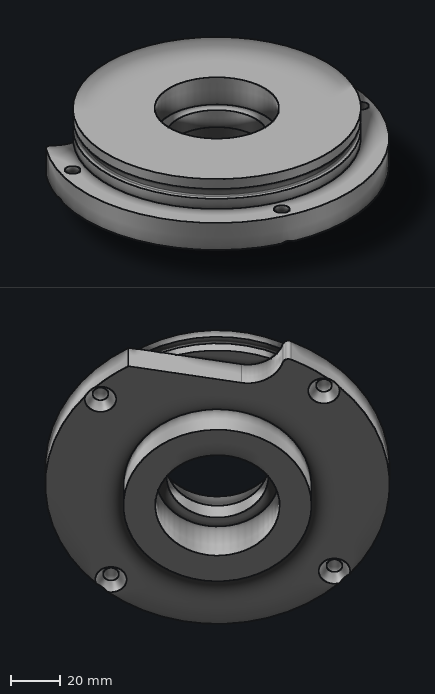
import cadquery as cq
import math

HUB_HEIGHT = 13.97
FLANGE_THICKNESS = 12.7
PILOT_HEIGHT = 13.97
FLANGE_TOP = HUB_HEIGHT + FLANGE_THICKNESS
TOTAL_HEIGHT = FLANGE_TOP + PILOT_HEIGHT

HUB_DIAMETER = 76.2
FLANGE_DIAMETER = 139.7
PILOT_DIAMETER = 116.84

GROOVE_DIAMETER = 111.76
GROOVE_WIDTH = 4.57
GROOVE_LIP = 4.6
GROOVE_CORNER_RADIUS = 0.6

SEAT_DIAMETER = 50.4
LAND_DIAMETER = 41.3
UPPER_SEAT_DEPTH = 12.7
LAND_LENGTH = 8.0
LOWER_SEAT_DEPTH = TOTAL_HEIGHT - UPPER_SEAT_DEPTH - LAND_LENGTH

SCREW_COUNT = 4
SCREW_CIRCLE_DIAMETER = 128.27
SCREW_HOLE_DIAMETER = 6.35
COUNTERSINK_DIAMETER = 12.7
COUNTERSINK_ANGLE = 82.0

RELIEF_ARC_CENTER = (-35.4, -57.2)
RELIEF_ARC_RADIUS = 14.9
RELIEF_FLAT_SLOPE = 32.0
RELIEF_TIP_RADIUS = 2.3


def cylinder(diameter, height, base):
    return cq.Workplane("XY").workplane(offset=base).circle(diameter / 2).extrude(height)


def polar_point(center, radius, degrees):
    angle = math.radians(degrees)
    return (center[0] + radius * math.cos(angle), center[1] + radius * math.sin(angle))


def tip_corner():
    """Lower crossing of the relief arc with the flange rim."""
    rim_radius = FLANGE_DIAMETER / 2
    center_distance = math.hypot(*RELIEF_ARC_CENTER)
    center_angle = math.atan2(RELIEF_ARC_CENTER[1], RELIEF_ARC_CENTER[0])
    side_squares = rim_radius**2 + center_distance**2 - RELIEF_ARC_RADIUS**2
    cosine = side_squares / (2 * rim_radius * center_distance)
    return polar_point((0, 0), rim_radius, math.degrees(center_angle + math.acos(cosine)))


def make_flange():
    """Round flange with the lower-left relief cut away and its tip rounded."""
    normal_angle = 90 - RELIEF_FLAT_SLOPE
    tangent_point = polar_point(RELIEF_ARC_CENTER, RELIEF_ARC_RADIUS, normal_angle)
    arc_side = polar_point(RELIEF_ARC_CENTER, RELIEF_ARC_RADIUS, 0)
    arc_end = polar_point(RELIEF_ARC_CENTER, RELIEF_ARC_RADIUS, -90)
    flat_end = polar_point(tangent_point, FLANGE_DIAMETER / 2, 180 - RELIEF_FLAT_SLOPE)
    relief = (
        cq.Workplane("XY")
        .workplane(offset=HUB_HEIGHT)
        .moveTo(*flat_end)
        .lineTo(*tangent_point)
        .threePointArc(arc_side, arc_end)
        .lineTo(arc_end[0], -FLANGE_DIAMETER)
        .lineTo(flat_end[0], -FLANGE_DIAMETER)
        .close()
        .extrude(FLANGE_THICKNESS)
    )
    flange = cylinder(FLANGE_DIAMETER, FLANGE_THICKNESS, HUB_HEIGHT).cut(relief)
    tip_x, tip_y = tip_corner()
    tip_middle = (tip_x, tip_y, HUB_HEIGHT + FLANGE_THICKNESS / 2)
    tip_edge = cq.selectors.NearestToPointSelector(tip_middle)
    return flange.edges("|Z").edges(tip_edge).fillet(RELIEF_TIP_RADIUS)


def make_pilot():
    """Pilot disc with a seal groove whose two inner corners are rounded."""
    groove_base = TOTAL_HEIGHT - GROOVE_LIP - GROOVE_WIDTH
    groove_core = cylinder(GROOVE_DIAMETER, GROOVE_WIDTH, groove_base)
    groove_ring = cylinder(FLANGE_DIAMETER, GROOVE_WIDTH, groove_base).cut(groove_core)
    inner_edges = cq.selectors.RadiusNthSelector(0)
    groove = groove_ring.edges("%CIRCLE").edges(inner_edges).fillet(GROOVE_CORNER_RADIUS)
    return cylinder(PILOT_DIAMETER, PILOT_HEIGHT, FLANGE_TOP).cut(groove)


def cut_bore(body):
    """Through land with a wider seat at each end."""
    land = cylinder(LAND_DIAMETER, TOTAL_HEIGHT, 0)
    lower_seat = cylinder(SEAT_DIAMETER, LOWER_SEAT_DEPTH, 0)
    upper_seat = cylinder(SEAT_DIAMETER, UPPER_SEAT_DEPTH, TOTAL_HEIGHT - UPPER_SEAT_DEPTH)
    return body.cut(land).cut(lower_seat).cut(upper_seat)


def cut_screw_holes(body):
    """Evenly spaced clearance holes, each countersunk on the flange underside."""
    countersink_depth = COUNTERSINK_DIAMETER / 2 / math.tan(math.radians(COUNTERSINK_ANGLE / 2))
    up = cq.Vector(0, 0, 1)
    for index in range(SCREW_COUNT):
        x, y = polar_point((0, 0), SCREW_CIRCLE_DIAMETER / 2, index * 360 / SCREW_COUNT)
        base = cq.Vector(x, y, HUB_HEIGHT)
        hole = cq.Solid.makeCylinder(SCREW_HOLE_DIAMETER / 2, FLANGE_THICKNESS, base, up)
        countersink = cq.Solid.makeCone(COUNTERSINK_DIAMETER / 2, 0, countersink_depth, base, up)
        body = body.cut(cq.Workplane(hole)).cut(cq.Workplane(countersink))
    return body


hub = cylinder(HUB_DIAMETER, HUB_HEIGHT, 0)
body = hub.union(make_flange()).union(make_pilot())
result = cut_screw_holes(cut_bore(body))